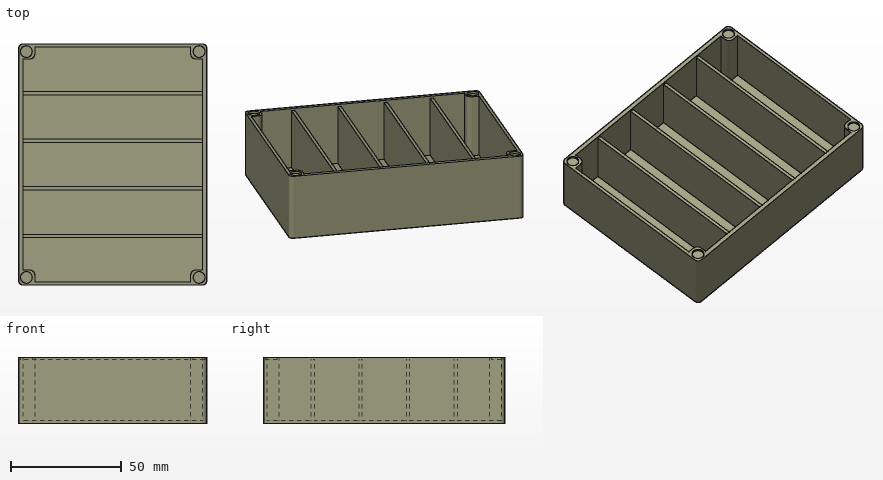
import cadquery as cq

compartment_count = 5
compartment_length_x = 81.0
compartment_width_y = 20.0
divider_thickness = 1.5
side_wall = 2.0
end_wall = 1.5
height = 30.0
floor_thickness = 1.5
corner_radius = 2.0
divider_drop = 1.0

pocket_diameter = 5.3
pocket_depth = 1.0
pocket_inset_x = 3.5
pocket_inset_y = 3.5
post_reach_x = 7.3
post_reach_y = 6.95
post_radius = 2.5

compartment_pitch = compartment_width_y + divider_thickness
cavity_width_y = compartment_count * compartment_pitch - divider_thickness
length_x = compartment_length_x + 2 * side_wall
width_y = cavity_width_y + 2 * end_wall
divider_length = length_x - side_wall
corner_signs = [(sx, sy) for sx in (-1, 1) for sy in (-1, 1)]


def make_block():
    """Solid envelope of the tray with rounded vertical edges."""
    block = cq.Workplane("XY").box(length_x, width_y, height, centered=(True, True, False))
    return block.edges("|Z").fillet(corner_radius)


def make_shell():
    """Envelope hollowed from the top down to the floor."""
    cavity = (
        cq.Workplane("XY", origin=(0, 0, floor_thickness))
        .box(compartment_length_x, cavity_width_y, height, centered=(True, True, False))
    )
    return make_block().cut(cavity)


def make_divider(index):
    """Wall between compartment number index and the next one."""
    center_y = (index + 1) * compartment_pitch - (cavity_width_y + divider_thickness) / 2
    return (
        cq.Workplane("XY", origin=(0, center_y, 0))
        .box(divider_length, divider_thickness, height - divider_drop, centered=(True, True, False))
    )


def make_post(sign_x, sign_y):
    """Full-height corner post with only its inner vertical edge rounded."""
    inner_edge = "|Z and {}X and {}Y".format("<" if sign_x > 0 else ">", "<" if sign_y > 0 else ">")
    center_x = sign_x * (length_x - post_reach_x) / 2
    center_y = sign_y * (width_y - post_reach_y) / 2
    post = (
        cq.Workplane("XY", origin=(center_x, center_y, 0))
        .box(post_reach_x, post_reach_y, height, centered=(True, True, False))
        .edges(inner_edge)
        .fillet(post_radius)
    )
    return post.intersect(make_block())


def make_pocket(sign_x, sign_y):
    """Cylinder removed from the top of a corner post."""
    center_x = sign_x * (length_x / 2 - pocket_inset_x)
    center_y = sign_y * (width_y / 2 - pocket_inset_y)
    return (
        cq.Workplane("XY", origin=(center_x, center_y, height - pocket_depth))
        .circle(pocket_diameter / 2)
        .extrude(pocket_depth)
    )


result = make_shell()
for divider_index in range(compartment_count - 1):
    result = result.union(make_divider(divider_index))
for corner in corner_signs:
    result = result.union(make_post(*corner))
for corner in corner_signs:
    result = result.cut(make_pocket(*corner))